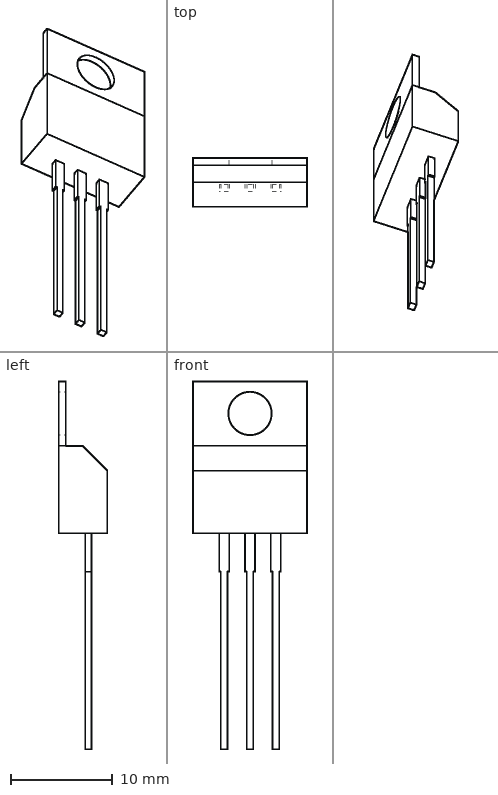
import cadquery as cq

width = 11.28
depth = 4.82
total_height = 36.25

housing_height = 8.63
bevel = 2.43

tab_height = 6.35
tab_thickness = 0.73
hole_diameter = 4.25
hole_below_tab_top = 3.15

lead_count = 3
lead_pitch = 2.55
lead_length = total_height - housing_height - tab_height
lead_thickness = 0.65
lead_center_y = -2.95
shoulder_width = 1.0
shoulder_length = 3.77
tail_width = 0.7


def make_housing():
    """Extrude the bevelled side profile across the full width."""
    profile = [
        (0, 0),
        (-depth, 0),
        (-depth, housing_height - bevel),
        (-depth + bevel, housing_height),
        (0, housing_height),
    ]
    return cq.Workplane("YZ").polyline(profile).close().extrude(width / 2, both=True)


def make_tab():
    """Flat plate with a round mounting hole through it."""
    plate = cq.Workplane("XY").box(width, tab_thickness, tab_height, centered=(True, True, False))
    plate = plate.translate((0, -tab_thickness / 2, housing_height))
    hole_z = housing_height + tab_height - hole_below_tab_top
    hole = (
        cq.Workplane("XZ")
        .center(0, hole_z)
        .circle(hole_diameter / 2)
        .extrude(tab_thickness)
    )
    return plate.cut(hole)


def make_lead(center_x):
    """One stepped lead ending against the housing underside."""
    shoulder = (
        cq.Workplane("XY")
        .center(center_x, lead_center_y)
        .rect(shoulder_width, lead_thickness)
        .extrude(-shoulder_length)
    )
    tail = (
        cq.Workplane("XY")
        .center(center_x, lead_center_y)
        .rect(tail_width, lead_thickness)
        .extrude(-lead_length)
    )
    return shoulder.union(tail)


housing = make_housing()
tab = make_tab()
leads = []
for index in range(lead_count):
    lead_x = (index - (lead_count - 1) / 2) * lead_pitch
    leads.append(make_lead(lead_x))

result = cq.Compound.makeCompound([housing.val(), tab.val(), *[lead.val() for lead in leads]])